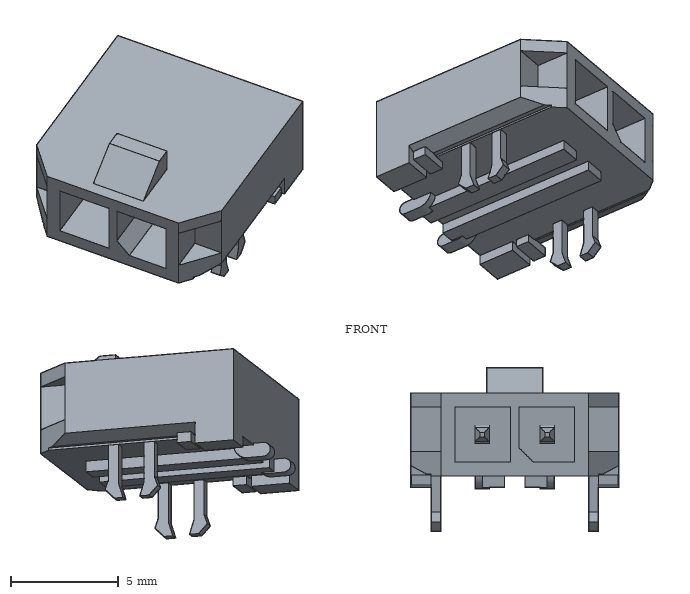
import cadquery as cq


housing_width = 9.65
housing_depth = 9.89
housing_height = 3.86
half_width = housing_width / 2
corner_width = 1.4
corner_depth = 1.66
corner_x = half_width - corner_width

notch_bottom = 1.15
notch_top = 3.2

pocket_size = 2.56
pocket_depth = 8.02
septum = 0.42
pocket_bottom = 0.65
pocket_key = 0.65
pocket_x = (septum + pocket_size) / 2

contact_x = 1.51
contact_size = 0.66
contact_z = pocket_bottom + pocket_size / 2
pin_front = 2.68
pin_tip_length = 0.54
pin_tip_size = 0.2
root_flare = 0.09
tail_front = 8.91
tail_end = 10.7
tail_bottom = -0.59

latch_width = 2.6
latch_height = 1.18
latch_front = 0.56
latch_crest = 2.19
latch_back = 2.95

undercut_outer_z = 0.49
undercut_inner_z = 0.11
undercut_slope_x = 4.11
undercut_wall_x = 3.9
standoff_height = 0.51
rail_inner_x = 0.47
rail_width = 1.02
rail_front = 1.58
leg_front = pocket_depth

lock_inner_x = corner_x
lock_width = 0.46
lock_bottom = -2.56
lock_centre_y = 4.59
prong_inner = 0.62
prong_outer = 1.12
barb_outer = 1.28
barb_inner = 0.41
tip_outer = 0.86
barb_top = -1.67
barb_point = -2.13
barb_bend = -1.88
tab_outer_x = half_width - 0.04
tab_front = 7.13
tab_length = 0.67
tab_top = 0.06
tab_height = 0.47


def block(x_min, x_max, y_min, y_max, z_min, z_max):
    """Box given by its limits along each axis."""
    size = (x_max - x_min, y_max - y_min, z_max - z_min)
    return cq.Workplane().box(*size, centered=False).translate((x_min, y_min, z_min))


def prism_along_x(points, x_min, width):
    """Extrude a closed (y, z) outline in +X."""
    return cq.Workplane("YZ").workplane(offset=x_min).polyline(points).close().extrude(width)


def both_sides(shape):
    """A shape together with its mirror image across the centre plane."""
    return shape.union(shape.mirror("YZ"))


def housing():
    outline = [
        (-corner_x, 0),
        (corner_x, 0),
        (half_width, corner_depth),
        (half_width, housing_depth),
        (-half_width, housing_depth),
        (-half_width, corner_depth),
    ]
    return cq.Workplane().polyline(outline).close().extrude(housing_height)


def corner_notch():
    return block(corner_x, half_width, 0, corner_depth, notch_bottom, notch_top)


def side_undercut():
    outline = [
        (half_width, undercut_outer_z),
        (undercut_slope_x, undercut_inner_z),
        (undercut_wall_x, undercut_inner_z),
        (undercut_wall_x, 0),
        (half_width, 0),
    ]
    return cq.Workplane("XZ").polyline(outline).close().extrude(-leg_front)


def pocket():
    pocket_inner_x = pocket_x - pocket_size / 2
    pocket_top = pocket_bottom + pocket_size
    return block(pocket_inner_x, pocket_inner_x + pocket_size, 0, pocket_depth, pocket_bottom, pocket_top)


def keyed_pocket():
    return pocket().edges("|Y and <X and <Z").chamfer(pocket_key)


def latch():
    top = housing_height + latch_height
    outline = [
        (latch_front, housing_height),
        (latch_crest, top),
        (latch_back, top),
        (latch_back, housing_height),
    ]
    return prism_along_x(outline, -latch_width / 2, latch_width)


def pin():
    """Square pin with a pyramid tip, flared above and below where it meets the pocket's end wall."""
    pin_length = pocket_depth - pin_front
    centre = (contact_x, 0, contact_z)
    shank = (
        cq.Workplane("XZ", origin=centre)
        .workplane(offset=-pocket_depth)
        .rect(contact_size, contact_size)
        .extrude(pin_length - pin_tip_length)
    )
    tip = (
        shank.faces("<Y").workplane()
        .rect(contact_size, contact_size)
        .workplane(offset=pin_tip_length)
        .rect(pin_tip_size, pin_tip_size)
        .loft(combine=False)
    )
    top = contact_z + contact_size / 2
    bottom = contact_z - contact_size / 2
    flare_front = pocket_depth - root_flare
    arc_inset = root_flare * 0.5 ** 0.5
    root = (
        cq.Workplane("YZ")
        .workplane(offset=contact_x - contact_size / 2)
        .moveTo(flare_front, bottom)
        .lineTo(flare_front, top)
        .threePointArc(
            (flare_front + arc_inset, top + root_flare - arc_inset),
            (pocket_depth, top + root_flare),
        )
        .lineTo(pocket_depth, bottom - root_flare)
        .close()
        .extrude(contact_size)
    )
    return shank.union(tip).union(root)


def solder_tail():
    """Foot with a full-round free end and a rounded heel as high as the foot is thick."""
    radius = contact_size / 2
    tail_top = tail_bottom + contact_size
    heel_end = tail_front + contact_size
    heel_mid = contact_size * (1 - 0.5 ** 0.5)
    return (
        cq.Workplane("YZ")
        .workplane(offset=contact_x - radius)
        .moveTo(tail_front, tail_top)
        .threePointArc((tail_front + heel_mid, tail_bottom + heel_mid), (heel_end, tail_bottom))
        .lineTo(tail_end - radius, tail_bottom)
        .threePointArc((tail_end, tail_bottom + radius), (tail_end - radius, tail_top))
        .close()
        .extrude(contact_size)
    )


def standoffs():
    """Rail under the housing and full-height leg at the rear corner."""
    rail = block(rail_inner_x, rail_inner_x + rail_width, rail_front, housing_depth, -standoff_height, 0)
    leg = block(corner_x, half_width, leg_front, housing_depth, -standoff_height, 0)
    return rail.union(leg)


def lock_prong(direction):
    """Barbed prong on one side (+1 or -1 along Y) of the lock centre."""
    profile = [
        (prong_inner, 0),
        (prong_outer, 0),
        (prong_outer, barb_top),
        (barb_outer, barb_point),
        (tip_outer, lock_bottom),
        (barb_inner, lock_bottom),
        (prong_inner, barb_bend),
    ]
    points = [(lock_centre_y + direction * y, z) for y, z in profile]
    return prism_along_x(points, lock_inner_x, lock_width)


def board_lock():
    tab = block(lock_inner_x, tab_outer_x, tab_front, tab_front + tab_length, tab_top - tab_height, tab_top)
    return lock_prong(1).union(lock_prong(-1)).union(tab)


result = (
    housing()
    .cut(both_sides(corner_notch()))
    .cut(both_sides(side_undercut()))
    .cut(pocket().mirror("YZ"))
    .cut(keyed_pocket())
    .union(latch())
    .union(both_sides(standoffs()))
    .union(both_sides(pin()))
    .union(both_sides(solder_tail()))
    .union(both_sides(board_lock()))
)